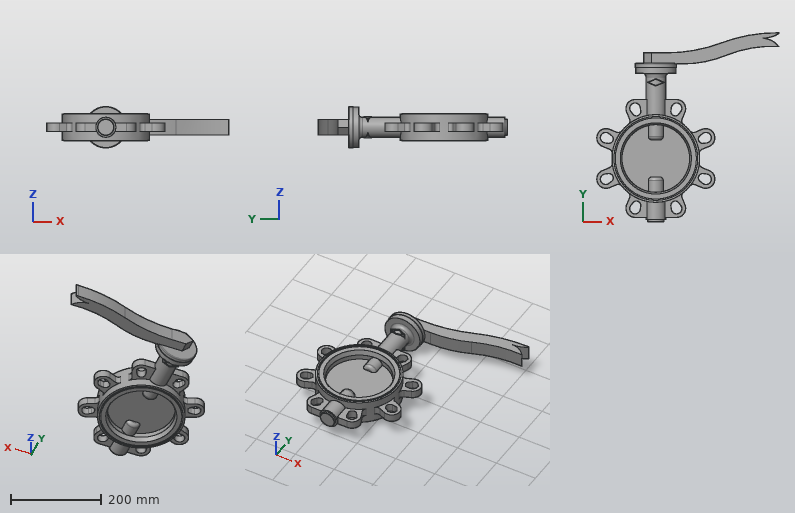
import cadquery as cq
import math

RING_RADIUS = 97.3
RING_HALF_THICKNESS = 29.0
RIDGE_OUTER_RADIUS = 93.0
RIDGE_INNER_RADIUS = 90.0
RIDGE_HALF_THICKNESS = 30.0
BORE_RADIUS = 79.0

DISC_RADIUS = 75.0
DISC_HALF_THICKNESS = 5.5
SEAT_HALF_LENGTH = 17.5
SHAFT_RADIUS = 17.5
SHAFT_END = 40.8
SHAFT_END_FILLET = 8.2

LUG_COUNT = 8
LUG_STEP = 360.0 / LUG_COUNT
LUG_HALF_THICKNESS = 9.65
LUG_CIRCLE_RADIUS = 119.5
LUG_END_RADIUS = 20.7
LUG_ROOT_FILLET = 10.0
BURIED_START = 88.0
HOLE_OUTER_POSITION = 120.5
HOLE_OUTER_RADIUS = 11.5
HOLE_INNER_POSITION = 112.7
HOLE_INNER_RADIUS = 9.5

STEM_RADIUS = 22.25
HUB_END = -135.3
CAP_RADIUS = 18.2
CAP_END = -140.5
CAP_CHAMFER = 0.8
FLANGE_RADIUS = 45.0
FLANGE_BOTTOM = 189.0
FLANGE_TOP = 201.7
FLANGE_NECK_FILLET = 8.0

DIAMOND_Y = 168.8
DIAMOND_HALF_LENGTH = 19.0
DIAMOND_HALF_HEIGHT = 8.1
DIAMOND_INNER_SCALE = 0.87
DIAMOND_TOP = 23.9

LEVER_PLATE_RADIUS = 46.0
LEVER_PLATE_TOP = 211.3
LEVER_PLATE_FILLET = 1.8
BAR_HALF_WIDTH = 17.25
BAR_NOSE_X = -27.0
BAR_END_X = 272.75
BAR_BOTTOM = 209.6
BAR_TOP = 234.6
LOWER_BEND_X = 60.5
LOWER_JOINT_X = 155.4
LOWER_BEND_RADIUS = 250.0
LOWER_CREST_X = 258.0
UPPER_BEND_X = 24.0
UPPER_JOINT_X = 146.0
UPPER_CREST_X = 268.0
UPPER_CREST_Y = 279.0
NOTCH_X = 238.3
NOTCH_Y = 266.8
NOTCH_LIP = 2.2
LOWER_NOTCH_RADIUS = 45.0
UPPER_NOTCH_RADIUS = 65.0


def y_cylinder(radius, start, end):
    """Cylinder along Y between two Y positions."""
    frame = cq.Plane(origin=(0, start, 0), xDir=(1, 0, 0), normal=(0, 1, 0))
    return cq.Workplane(frame).circle(radius).extrude(end - start)


def make_ring():
    """Ring with a raised sealing ridge on both faces, before boring."""
    profile = [
        (0, -RING_HALF_THICKNESS),
        (RIDGE_INNER_RADIUS, -RING_HALF_THICKNESS),
        (RIDGE_INNER_RADIUS, -RIDGE_HALF_THICKNESS),
        (RIDGE_OUTER_RADIUS, -RIDGE_HALF_THICKNESS),
        (RIDGE_OUTER_RADIUS, -RING_HALF_THICKNESS),
        (RING_RADIUS, -RING_HALF_THICKNESS),
        (RING_RADIUS, RING_HALF_THICKNESS),
        (RIDGE_OUTER_RADIUS, RING_HALF_THICKNESS),
        (RIDGE_OUTER_RADIUS, RIDGE_HALF_THICKNESS),
        (RIDGE_INNER_RADIUS, RIDGE_HALF_THICKNESS),
        (RIDGE_INNER_RADIUS, RING_HALF_THICKNESS),
        (0, RING_HALF_THICKNESS),
    ]
    return cq.Workplane("XZ").polyline(profile).close().revolve(360, (0, 0, 0), (0, 1, 0))


def make_bore(side):
    """Space above (side=1) or below (side=-1) the disc, a straight seat flaring to the ring face."""
    profile = [
        (0, side * DISC_HALF_THICKNESS),
        (DISC_RADIUS, side * DISC_HALF_THICKNESS),
        (DISC_RADIUS, side * SEAT_HALF_LENGTH),
        (BORE_RADIUS, side * RING_HALF_THICKNESS),
        (0, side * RING_HALF_THICKNESS),
    ]
    return cq.Workplane("XZ").polyline(profile).close().revolve(360, (0, 0, 0), (0, 1, 0))


def lug_slab(outline):
    """Extrude a sketch drawn at the lower lug face up to the upper lug face."""
    return outline.extrude(2 * LUG_HALF_THICKNESS)


def lug_plane():
    """Sketch plane at the lower lug face."""
    return cq.Workplane("XY").workplane(offset=-LUG_HALF_THICKNESS)


def make_lug():
    """One lug on the +X axis: round end, parallel sides, concave blends tangent to the ring."""
    blend_y = LUG_END_RADIUS + LUG_ROOT_FILLET
    blend_reach = RING_RADIUS + LUG_ROOT_FILLET
    blend_x = math.sqrt(blend_reach**2 - blend_y**2)
    root_x = blend_x * RING_RADIUS / blend_reach
    root_y = blend_y * RING_RADIUS / blend_reach
    outline = (
        lug_plane()
        .moveTo(root_x, -root_y)
        .radiusArc((blend_x, -LUG_END_RADIUS), LUG_ROOT_FILLET)
        .lineTo(LUG_CIRCLE_RADIUS, -LUG_END_RADIUS)
        .threePointArc((LUG_CIRCLE_RADIUS + LUG_END_RADIUS, 0), (LUG_CIRCLE_RADIUS, LUG_END_RADIUS))
        .lineTo(blend_x, LUG_END_RADIUS)
        .radiusArc((root_x, root_y), LUG_ROOT_FILLET)
        .close()
    )
    return lug_slab(outline)


def make_lug_hole():
    """Tapered slot on the +X axis: two circles joined by their outer tangents."""
    spread = HOLE_OUTER_POSITION - HOLE_INNER_POSITION
    tangent_cos = (HOLE_INNER_RADIUS - HOLE_OUTER_RADIUS) / spread
    tangent_sin = math.sqrt(1 - tangent_cos**2)
    outer_x = HOLE_OUTER_POSITION + HOLE_OUTER_RADIUS * tangent_cos
    outer_y = HOLE_OUTER_RADIUS * tangent_sin
    inner_x = HOLE_INNER_POSITION + HOLE_INNER_RADIUS * tangent_cos
    inner_y = HOLE_INNER_RADIUS * tangent_sin
    outline = (
        lug_plane()
        .moveTo(inner_x, -inner_y)
        .lineTo(outer_x, -outer_y)
        .threePointArc((HOLE_OUTER_POSITION + HOLE_OUTER_RADIUS, 0), (outer_x, outer_y))
        .lineTo(inner_x, inner_y)
        .threePointArc((HOLE_INNER_POSITION - HOLE_INNER_RADIUS, 0), (inner_x, -inner_y))
        .close()
    )
    return lug_slab(outline)


def make_web(side):
    """Flat web joining the two lugs on either side of the stem (side=1) or hub (side=-1)."""
    first_lug_angle = math.radians(90 - LUG_STEP / 2)
    half_width = LUG_CIRCLE_RADIUS * math.cos(first_lug_angle)
    web_end = LUG_CIRCLE_RADIUS * math.sin(first_lug_angle) + LUG_END_RADIUS
    middle = side * (BURIED_START + web_end) / 2
    return lug_slab(lug_plane().center(0, middle).rect(2 * half_width, web_end - BURIED_START))


def make_shaft_stub(side):
    """Shaft from the ring wall to its rounded end above the disc."""
    start, end = sorted((side * SHAFT_END, side * RING_RADIUS))
    tip = "<Y" if side > 0 else ">Y"
    return y_cylinder(SHAFT_RADIUS, start, end).faces(tip).edges().fillet(SHAFT_END_FILLET)


def make_stem():
    """Stem with its mounting flange, from the ring wall up to the lever."""
    neck_start = FLANGE_BOTTOM - FLANGE_NECK_FILLET
    profile = (
        cq.Workplane("XY")
        .moveTo(0, BURIED_START)
        .lineTo(STEM_RADIUS, BURIED_START)
        .lineTo(STEM_RADIUS, neck_start)
        .radiusArc((STEM_RADIUS + FLANGE_NECK_FILLET, FLANGE_BOTTOM), FLANGE_NECK_FILLET)
        .lineTo(FLANGE_RADIUS, FLANGE_BOTTOM)
        .lineTo(FLANGE_RADIUS, FLANGE_TOP)
        .lineTo(0, FLANGE_TOP)
        .close()
    )
    return profile.revolve(360, (0, 0, 0), (0, 1, 0))


def make_hub():
    """Lower hub closed by a smaller chamfered cap."""
    hub = y_cylinder(STEM_RADIUS, HUB_END, -BURIED_START)
    cap = y_cylinder(CAP_RADIUS, CAP_END, HUB_END).faces("<Y").edges().chamfer(CAP_CHAMFER)
    return hub.union(cap)


def make_diamond(scale, side):
    """Diamond prism from the stem axis to the frame top; side is 1 for +Z and -1 for -Z."""
    length = DIAMOND_HALF_LENGTH * scale
    height = DIAMOND_HALF_HEIGHT * scale
    corners = [(-length, 0), (0, -height), (length, 0), (0, height)]
    sketch = cq.Workplane("XY").center(0, DIAMOND_Y).polyline(corners).close()
    return sketch.extrude(side * DIAMOND_TOP)


def make_diamond_frame(side):
    """Raised diamond frame on the upper (side=1) or lower (side=-1) face of the stem."""
    return make_diamond(1, side).cut(make_diamond(DIAMOND_INNER_SCALE, side))


def make_valve_body():
    """Ring, disc, shaft stubs, stem, hub and lugs as one solid."""
    body = make_ring().union(make_stem()).union(make_hub())
    for side in (1, -1):
        body = body.union(make_web(side)).union(make_diamond_frame(side))
    lug_angles = [LUG_STEP * (index + 0.5) for index in range(LUG_COUNT)]
    for angle in lug_angles:
        body = body.union(make_lug().rotate((0, 0, 0), (0, 0, 1), angle))
    for angle in lug_angles:
        body = body.cut(make_lug_hole().rotate((0, 0, 0), (0, 0, 1), angle))
    for side in (1, -1):
        body = body.cut(make_bore(side))
    for side in (1, -1):
        body = body.union(make_shaft_stub(side))
    return body


def make_lever_bar():
    """S-shaped bar with a swallowtail end and a 90 degree nose."""
    bend_angle = math.asin((LOWER_JOINT_X - LOWER_BEND_X) / LOWER_BEND_RADIUS)
    lower_joint_y = BAR_BOTTOM + LOWER_BEND_RADIUS * (1 - math.cos(bend_angle))
    lower_crest_radius = (LOWER_CREST_X - LOWER_JOINT_X) / math.sin(bend_angle)
    lower_crest_y = lower_joint_y + lower_crest_radius * (1 - math.cos(bend_angle))
    past_crest = BAR_END_X - LOWER_CREST_X
    lower_end_drop = lower_crest_radius - math.sqrt(lower_crest_radius**2 - past_crest**2)
    lower_end = (BAR_END_X, lower_crest_y - lower_end_drop)
    upper_joint = (UPPER_JOINT_X, (BAR_TOP + UPPER_CREST_Y) / 2)
    notch = (NOTCH_X, NOTCH_Y)
    profile = (
        cq.Workplane("XY")
        .workplane(offset=-BAR_HALF_WIDTH)
        .moveTo(BAR_NOSE_X, BAR_BOTTOM)
        .lineTo(LOWER_BEND_X, BAR_BOTTOM)
        .tangentArcPoint((LOWER_JOINT_X, lower_joint_y), relative=False)
        .tangentArcPoint(lower_end, relative=False)
        .radiusArc(notch, -LOWER_NOTCH_RADIUS)
        .radiusArc((BAR_END_X, UPPER_CREST_Y - NOTCH_LIP), -UPPER_NOTCH_RADIUS)
        .lineTo(BAR_END_X, UPPER_CREST_Y)
        .lineTo(UPPER_CREST_X, UPPER_CREST_Y)
        .tangentArcPoint(upper_joint, relative=False)
        .tangentArcPoint((UPPER_BEND_X, BAR_TOP), relative=False)
        .lineTo(BAR_NOSE_X, BAR_TOP)
        .close()
    )
    bar = profile.extrude(2 * BAR_HALF_WIDTH)
    nose_base = BAR_NOSE_X + BAR_HALF_WIDTH
    outline = [
        (BAR_NOSE_X, 0),
        (nose_base, -BAR_HALF_WIDTH),
        (BAR_END_X, -BAR_HALF_WIDTH),
        (BAR_END_X, BAR_HALF_WIDTH),
        (nose_base, BAR_HALF_WIDTH),
    ]
    blank = cq.Workplane("XZ").polyline(outline).close().extrude(-UPPER_CREST_Y)
    return bar.intersect(blank)


def make_lever():
    """Round plate seated on the stem flange, carrying the lever bar."""
    plate = y_cylinder(LEVER_PLATE_RADIUS, FLANGE_TOP, LEVER_PLATE_TOP)
    plate = plate.faces(">Y").edges().fillet(LEVER_PLATE_FILLET)
    return plate.union(make_lever_bar())


valve_body = make_valve_body()
lever = make_lever()

result = cq.Compound.makeCompound([valve_body.val(), lever.val()])